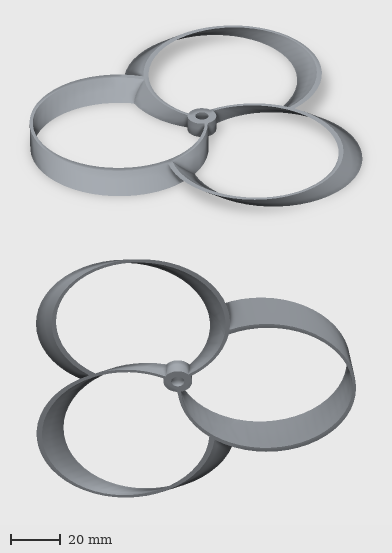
import cadquery as cq
import math

height = 6.35
ring_count = 3

hub_diameter = 11.6
bore_diameter = 5.33

ring_outer_radius = 36.0
ring_wall = 1.3
ring_center_x = 33.725
ring_top_y = 3.88
ring_shift = 9.0

lean_factor = math.hypot(1, ring_shift / height)
cavity_radius_x = ring_outer_radius - ring_wall
cavity_radius_y = ring_outer_radius - ring_wall * lean_factor


def oblique_prism(outline):
    """Sweep a closed outline on the lower face up to the upper face, leaning toward -Y."""
    lean = cq.Vector(0, -ring_shift, height)
    return cq.Workplane(cq.Solid.extrudeLinear(outline.wires().val(), [], lean))


def place(body, index):
    """Turn a body about the hub axis to its place in the pattern."""
    return body.rotate((0, 0, 0), (0, 0, 1), index * 360 / ring_count)


lower_center = cq.Workplane("XY").center(ring_center_x, ring_top_y + ring_shift)
disc = oblique_prism(lower_center.circle(ring_outer_radius))
cavity = oblique_prism(lower_center.ellipse(cavity_radius_x, cavity_radius_y))
ring = disc.cut(cavity)

open_ring = ring.cut(place(cavity, -1))

result = cq.Workplane("XY").circle(hub_diameter / 2).extrude(height)
for index in range(ring_count):
    result = result.union(place(open_ring, index))

bore = cq.Workplane("XY").circle(bore_diameter / 2).extrude(height)
result = result.cut(bore)